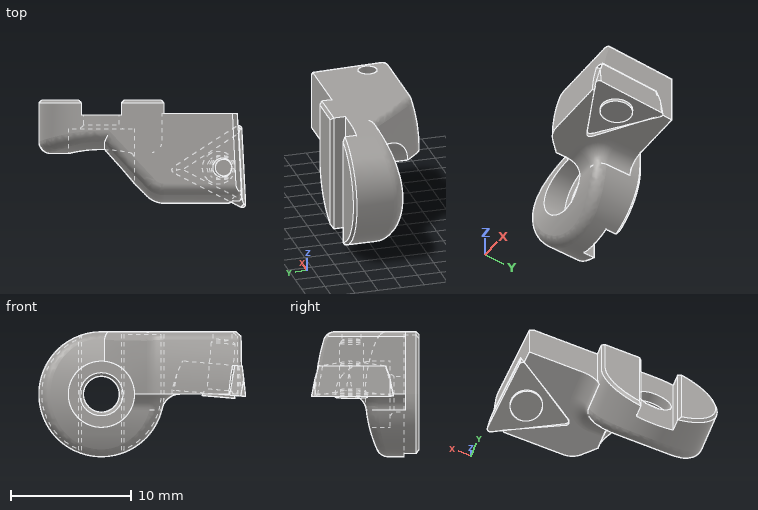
import cadquery as cq
import math


eye_diameter = 10.4
eye_radius = eye_diameter / 2
arm_end_x = 11.25
arm_end_lean = 2.8
arm_back_y = -1.12
end_corner_round = 0.31
end_chamfer = 0.41

turning_axis_y = 6.88
eye_front_y = -4.47
arm_front_y = -8.6
shoulder_x = 0.25
shoulder_angle = 45.0
shoulder_round = 2.0
front_round = 1.0
root_round = 1.5

groove_width = 3.3
groove_depth = 1.24
pad_chamfer = 0.24

counterbore_radius = 2.75
counterbore_floor_y = -2.4
countersink_radius = 1.79
bore_radius = 1.48

seat_x = 9.75
seat_y = -5.62
seat_tilt = 5.0

insert_turn = 2.9
insert_corner_radius = 0.3
insert_corner_spacing = 6.25
insert_thickness = 2.5
insert_clearance = 11.0
nose_notch_length = 1.03
nose_notch_inset = 0.86
nose_notch_reach = 1.72

head_radius = 1.36
head_height = 0.24
shank_radius = 1.0
tip_radius = 0.69
tip_depth = 0.67

tip_hole_radius = 0.79
tip_hole_x = 10.05

FAR = 34.4

tilt = math.radians(seat_tilt)
seat_plane = cq.Plane(
    origin=(seat_x, seat_y, 0),
    xDir=(math.cos(tilt), 0, -math.sin(tilt)),
    normal=(math.sin(tilt), 0, math.cos(tilt)),
)
nose_angle = insert_turn - 60


def turned_envelope():
    """Revolved solid behind the front face, made of eye cylinder, shoulder cone, arm cylinder."""
    angle = math.radians(shoulder_angle)
    corner_x = shoulder_x + (eye_front_y - arm_front_y) / math.tan(angle)
    tangent = shoulder_round * math.tan(angle / 2)
    round_end_x = corner_x + tangent
    round_mid = (
        round_end_x - shoulder_round * math.sin(angle / 2),
        arm_front_y + shoulder_round * (1 - math.cos(angle / 2)),
    )
    return (
        cq.Workplane("XY")
        .moveTo(-FAR, turning_axis_y)
        .lineTo(-FAR, eye_front_y)
        .lineTo(shoulder_x, eye_front_y)
        .lineTo(corner_x - tangent * math.cos(angle), arm_front_y + tangent * math.sin(angle))
        .threePointArc(round_mid, (round_end_x, arm_front_y))
        .lineTo(FAR, arm_front_y)
        .lineTo(FAR, turning_axis_y)
        .close()
        .revolve(360, (0, turning_axis_y, 0), (1, turning_axis_y, 0))
    )


def eye_blank():
    """Round eye with a cylindrical front and a rounded front rim."""
    front_cylinder = (
        cq.Workplane("YZ", origin=(-FAR, turning_axis_y, 0))
        .circle(turning_axis_y - eye_front_y)
        .extrude(2 * FAR)
    )
    disc = cq.Workplane("XZ").circle(eye_radius).extrude(FAR)
    return disc.intersect(front_cylinder).faces("<Y").edges().fillet(front_round)


def end_chamfer_wedge():
    """Wedge that bevels the top edge of the leaning arm end."""
    wedge = (
        cq.Workplane("XZ")
        .moveTo(-end_chamfer, eye_radius)
        .lineTo(end_chamfer, eye_radius)
        .lineTo(end_chamfer, eye_radius - 2 * end_chamfer)
        .close()
        .extrude(FAR, both=True)
    )
    return wedge.rotate((0, 0, 0), (0, 0, 1), arm_end_lean).translate((arm_end_x, 0, 0))


def arm_blank():
    """Arm with a square mounting pad, a turned front and a rounded top front edge."""
    lean = math.tan(math.radians(arm_end_lean))
    block = (
        cq.Workplane("XY")
        .moveTo(0, 0)
        .lineTo(eye_radius, 0)
        .lineTo(eye_radius, arm_back_y)
        .lineTo(arm_end_x - lean * arm_back_y, arm_back_y)
        .lineTo(arm_end_x + lean * FAR, -FAR)
        .lineTo(0, -FAR)
        .close()
        .extrude(eye_radius)
    )
    arm = block.intersect(turned_envelope())
    top_front_edges = cq.selectors.BoxSelector(
        (shoulder_x / 2, arm_front_y, eye_radius - 0.17),
        (arm_end_x - 0.17, eye_front_y / 2, eye_radius + 0.17),
    )
    arm = arm.faces(">Z").edges(top_front_edges).fillet(front_round)
    arm = arm.faces(">X").edges("<Y").fillet(end_corner_round)
    return arm.cut(end_chamfer_wedge())


def arm_root():
    """Concave blend from the underside of the arm to the front and side of the eye."""
    face_radius = turning_axis_y - eye_front_y
    side_x = math.sqrt((eye_radius + root_round) ** 2 - root_round ** 2)
    face_y = turning_axis_y - math.sqrt((face_radius + root_round) ** 2 - root_round ** 2)
    depth = root_round * face_radius / (face_radius + root_round)
    start_x = shoulder_x + eye_front_y - face_y
    bend = front_round + root_round
    bend_mid = bend * (1 - math.sin(math.radians(45)))

    def centre_path(z):
        return (
            cq.Workplane("XY", origin=(0, 0, z))
            .moveTo(start_x, face_y)
            .lineTo(side_x - bend, face_y)
            .threePointArc((side_x - bend_mid, face_y + bend_mid), (side_x, face_y + bend))
            .lineTo(side_x, arm_back_y)
        )

    block = centre_path(0).lineTo(start_x, arm_back_y).close().extrude(-depth)
    hollow = (
        cq.Workplane("YZ", origin=(start_x, face_y, -root_round))
        .circle(root_round)
        .sweep(centre_path(-root_round))
    )
    return block.cut(hollow)


def cut_groove(body):
    """Groove across the mounting face; the two pads it leaves are chamfered."""
    groove = cq.Workplane("XY").box(groove_width, 2 * groove_depth, FAR)
    return body.cut(groove).faces(">Y").edges().chamfer(pad_chamfer)


def cut_mounting_hole(body):
    """Through bore, countersunk in the floor of a deep counterbore."""
    counterbore = (
        cq.Workplane("XZ", origin=(0, counterbore_floor_y, 0)).circle(counterbore_radius).extrude(FAR)
    )
    bore = cq.Workplane("XZ").circle(bore_radius).extrude(FAR)
    countersink = cq.Solid.makeCone(
        countersink_radius,
        bore_radius,
        countersink_radius - bore_radius,
        pnt=cq.Vector(0, counterbore_floor_y, 0),
        dir=cq.Vector(0, 1, 0),
    )
    return body.cut(counterbore).cut(bore).cut(cq.Workplane(countersink))


def insert_triangle():
    """Rounded triangle of the cutting face, centred on the screw axis."""
    centre_to_corner = insert_corner_spacing / math.sqrt(3)
    corners = []
    for index in range(3):
        angle = math.radians(nose_angle + 120 * index)
        corners.append((centre_to_corner * math.cos(angle), centre_to_corner * math.sin(angle)))
    return cq.Workplane(seat_plane).polyline(corners).close().offset2D(insert_corner_radius)


def insert_blank():
    return insert_triangle().extrude(insert_thickness, taper=insert_clearance)


def nose_notch():
    """Notch that bares the leading flank of the insert, square to that flank."""
    inradius = insert_corner_spacing / (2 * math.sqrt(3)) + insert_corner_radius
    start = insert_corner_spacing / 2 - nose_notch_length
    length = nose_notch_length + nose_notch_reach
    width = nose_notch_inset + nose_notch_reach
    flank_plane = cq.Plane(seat_plane.origin, seat_plane.xDir, seat_plane.zDir)
    flank_plane = flank_plane.rotated((0, 0, nose_angle + 30))
    return (
        cq.Workplane(flank_plane)
        .center(start + length / 2, nose_notch_inset - inradius - width / 2)
        .rect(length, width)
        .extrude(insert_thickness)
    )


def build_screw():
    """Countersunk screw on the tilted seat axis, with a chamfered tip."""
    tip_height = (eye_radius - tip_depth) / math.cos(tilt)
    return (
        cq.Workplane("XZ")
        .moveTo(0, -head_height)
        .lineTo(head_radius, -head_height)
        .lineTo(head_radius, 0)
        .lineTo(shank_radius, head_radius - shank_radius)
        .lineTo(shank_radius, tip_height - (shank_radius - tip_radius))
        .lineTo(tip_radius, tip_height)
        .lineTo(0, tip_height)
        .close()
        .revolve(360, (0, 0, 0), (0, 1, 0))
        .rotate((0, 0, 0), (0, 1, 0), seat_tilt)
        .translate((seat_x, seat_y, 0))
    )


def tip_hole():
    """Upright hole from the top of the arm down to the chamfer of the screw tip."""
    depth = tip_depth + shank_radius - tip_radius
    return (
        cq.Workplane("XY", origin=(tip_hole_x, seat_y, eye_radius))
        .circle(tip_hole_radius)
        .extrude(-depth)
    )


def build_insert(screw):
    return insert_blank().cut(screw)


def build_housing(screw):
    housing = eye_blank().union(arm_blank()).union(arm_root())
    housing = cut_groove(housing)
    housing = cut_mounting_hole(housing)
    below_seat = insert_triangle().extrude(-FAR)
    housing = housing.cut(insert_blank()).cut(below_seat).cut(nose_notch())
    return housing.cut(tip_hole()).cut(screw)


screw = build_screw()
insert = build_insert(screw)
housing = build_housing(screw)

result = cq.Compound.makeCompound([
    housing.solids().val(),
    insert.solids().val(),
    screw.solids().val(),
])